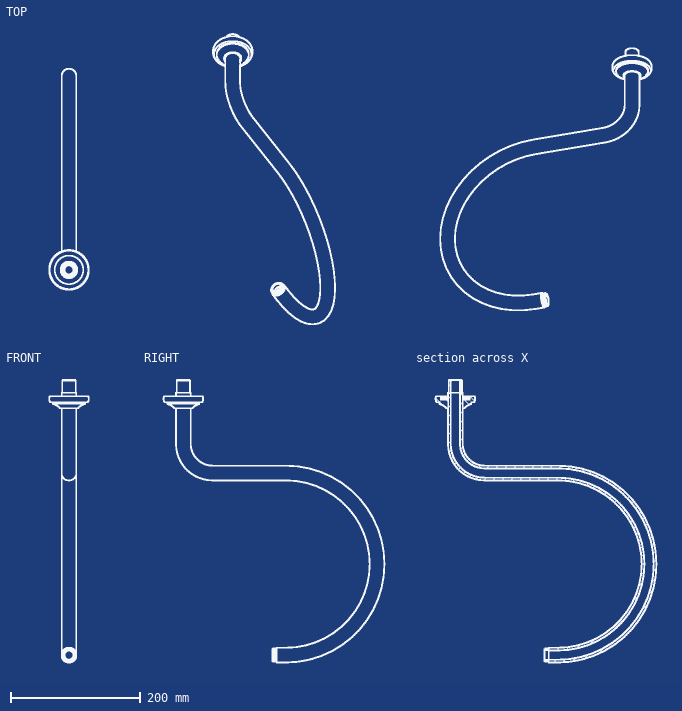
import cadquery as cq

PIPE_RADIUS = 11.6
BORE_RADIUS = 7.0
TOP_Z = 438.0
SHOULDER_Z = 418.0
BEND_RADIUS = 45.0
HOOK_Y = 159.0
HOOK_RADIUS = 141.0
OUTLET_Z = PIPE_RADIUS
ARM_Z = OUTLET_Z + 2 * HOOK_RADIUS
OUTLET_SHOULDER_Y = 144.5
OUTLET_END_Y = 138.0

INLET_RADIUS = 10.5
INLET_CHAMFER = 1.1
OUTLET_RADIUS = 10.5
OUTLET_CHAMFER = 1.5
GROOVE_COUNT = 4
GROOVE_PITCH = 1.5
GROOVE_DEPTH = 0.65

FLANGE_TOP_Z = 412.5
FLANGE_TOP_RADIUS = 30.0
FLANGE_RADIUS = 30.9
RIM_Z = 408.5
LIP_RADIUS = 29.0
LIP_Z = 403.0
FLARE_RADIUS = 25.0
FLARE_Z = 401.0
FLARE_MID_RADIUS = 18.5
FLARE_MID_Z = 398.0
FLANGE_NECK_RADIUS = 13.5
FLANGE_BOTTOM_Z = 394.0

WASHER_RADIUS = 22.12
WASHER_HOLE_RADIUS = 12.92
WASHER_THICKNESS = 2.5
WASHER_SINK = 2.5
WASHER_TOP_Z = FLANGE_TOP_Z - WASHER_SINK
WASHER_BOTTOM_Z = WASHER_TOP_Z - WASHER_THICKNESS


def make_washer():
    """Plain washer in the recess of the flange, loose around the pipe."""
    return (
        cq.Workplane("XY", origin=(0, 0, WASHER_BOTTOM_Z))
        .circle(WASHER_RADIUS)
        .circle(WASHER_HOLE_RADIUS)
        .extrude(WASHER_THICKNESS)
    )


def make_pipe():
    """Bent pipe swept along the post, small bend, arm, hook and outlet."""
    path = (
        cq.Workplane("YZ")
        .moveTo(0, SHOULDER_Z)
        .lineTo(0, ARM_Z + BEND_RADIUS)
        .radiusArc((BEND_RADIUS, ARM_Z), -BEND_RADIUS)
        .lineTo(HOOK_Y, ARM_Z)
        .threePointArc((HOOK_Y + HOOK_RADIUS, ARM_Z - HOOK_RADIUS), (HOOK_Y, OUTLET_Z))
        .lineTo(OUTLET_SHOULDER_Y, OUTLET_Z)
    )
    section = cq.Workplane("XY", origin=(0, 0, SHOULDER_Z)).circle(PIPE_RADIUS).circle(BORE_RADIUS)
    return section.sweep(path)


def make_inlet_spigot():
    """Spigot on the upper pipe end, chamfered around its outer top edge."""
    solid = cq.Workplane("XY", origin=(0, 0, SHOULDER_Z)).circle(INLET_RADIUS).extrude(TOP_Z - SHOULDER_Z)
    return solid.faces(">Z").chamfer(INLET_CHAMFER).faces(">Z").workplane().circle(BORE_RADIUS).cutThruAll()


def make_outlet_spigot():
    """Spigot on the lower pipe end, with V-grooves that stand for its thread."""
    length = OUTLET_SHOULDER_Y - OUTLET_END_Y
    outline = cq.Workplane("XY").moveTo(BORE_RADIUS, 0).lineTo(OUTLET_RADIUS, 0)
    for index in range(GROOVE_COUNT):
        start = index * GROOVE_PITCH
        outline = outline.lineTo(OUTLET_RADIUS - GROOVE_DEPTH, start + GROOVE_PITCH / 2)
        outline = outline.lineTo(OUTLET_RADIUS, start + GROOVE_PITCH)
    spigot = (
        outline.lineTo(OUTLET_RADIUS - OUTLET_CHAMFER, length)
        .lineTo(BORE_RADIUS, length)
        .close()
        .revolve(360, (0, 0), (0, 1))
    )
    return spigot.rotate((0, 0, 0), (0, 0, 1), 180).translate((0, OUTLET_SHOULDER_Y, OUTLET_Z))


def make_flange():
    """Bell-shaped flange around the post, with a round recess in its flat face."""
    return (
        cq.Workplane("XZ")
        .moveTo(PIPE_RADIUS, FLANGE_BOTTOM_Z)
        .lineTo(FLANGE_NECK_RADIUS, FLANGE_BOTTOM_Z)
        .threePointArc((FLARE_MID_RADIUS, FLARE_MID_Z), (FLARE_RADIUS, FLARE_Z))
        .lineTo(FLARE_RADIUS, LIP_Z)
        .lineTo(LIP_RADIUS, LIP_Z)
        .threePointArc((FLANGE_RADIUS, RIM_Z), (FLANGE_TOP_RADIUS, FLANGE_TOP_Z))
        .lineTo(WASHER_RADIUS, FLANGE_TOP_Z)
        .lineTo(WASHER_RADIUS, WASHER_BOTTOM_Z)
        .lineTo(PIPE_RADIUS, WASHER_BOTTOM_Z)
        .close()
        .revolve(360, (0, 0), (0, 1))
    )


pipe = make_pipe()
inlet_spigot = make_inlet_spigot()
outlet_spigot = make_outlet_spigot()
flange = make_flange()
washer = make_washer()

result = cq.Compound.makeCompound(
    [pipe.val(), inlet_spigot.val(), outlet_spigot.val(), flange.val(), washer.val()]
)